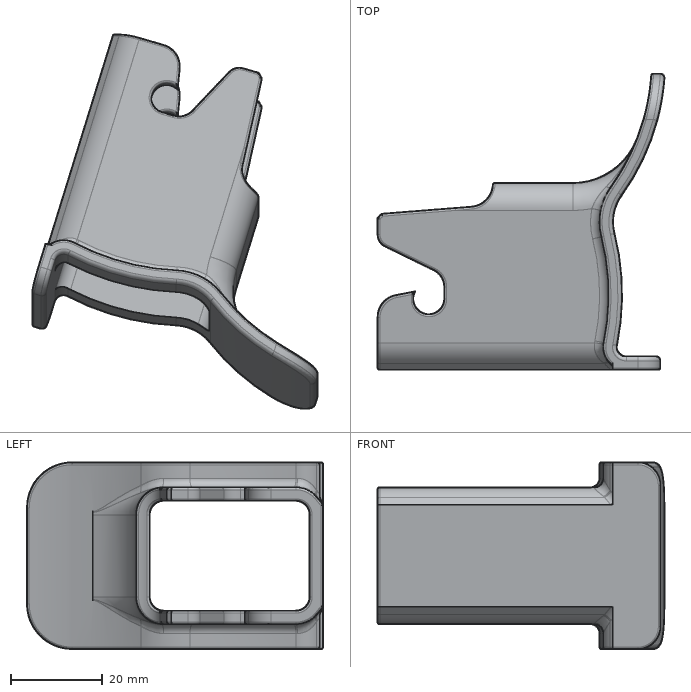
import cadquery as cq
import math

wall = 3.0
sleeve_width = 41.0
sleeve_height = 30.0
sleeve_corner = 2 * wall
front_rim = 0.5
rear_rim = 1.0
corner_bevel = math.radians(50)

plate_length = 65
plate_height = 41.0
plate_corner = 10.0
foot_end = 62.05
foot_corner = 5.0
foot_heel = 51.65
heel_bevel = math.radians(45)
bend_inside = 2.0
belly_radius = 55.0
belly_center = (-1.3, 16.5)
trough_radius = 10.0
tail_radius = 50.5
belly_angle = math.radians(14.2)
tail_angle = math.radians(-35.8)

side_blend = 2.0
tail_blend = 15.0
flare_gap = 0.03

arm_top = 34.2
arm_top_slope = math.radians(4.5)
arm_bottom = 27.9
arm_bottom_slope = math.radians(26)
arm_chamfer = 0.9
arm_round = 3.0
relief_x = 25.3
relief_round = 5.0
slot_center = (11.25, 15.6)
slot_radius = 3.4
lip_slope = math.radians(11)
lip_tip_angle = math.radians(151)
lip_round = 5.0
hook_round = 4.0

margin = 0.65
bend_outside = bend_inside + wall
sleeve_half = sleeve_height / 2


def polar(center, radius, angle):
    """Point on a circle; a negative radius gives the opposite side of it."""
    return (center[0] + radius * math.cos(angle), center[1] + radius * math.sin(angle))


def edge_near(x, y, z=0):
    """Selector of the edge whose middle is closest to a point."""
    return cq.NearestToPointSelector((x, y, z))


def draw_arcs(wire, arcs):
    """Continue a wire along arcs given as (center, radius, first angle, last angle)."""
    for center, radius, first, last in arcs:
        middle = polar(center, radius, (first + last) / 2)
        wire = wire.threePointArc(middle, polar(center, radius, last))
    return wire


trough_center = polar(belly_center, belly_radius + trough_radius, belly_angle)
tail_center = polar(trough_center, -(tail_radius + trough_radius), tail_angle)
bend_y = wall + bend_inside
bend_angle = math.asin((bend_y - belly_center[1]) / (belly_radius + bend_inside))
bend_center = polar(belly_center, belly_radius + bend_inside, bend_angle)


def tail_angle_at(depth, y):
    """Direction from the tail's centre to the point at height y along the tail."""
    return math.asin((y - tail_center[1]) / (tail_radius - depth))


def plate_arcs(depth, first_angle, last_angle):
    """The three plate arcs, from bulge to free end, at a depth below the back face."""
    return [
        (belly_center, belly_radius - depth, first_angle, belly_angle),
        (trough_center, -(trough_radius + depth), belly_angle, tail_angle),
        (tail_center, tail_radius - depth, tail_angle, last_angle),
    ]


def make_plate():
    """Bent plate with its foot, rounded corners and rounded edges."""
    heel_top = polar(bend_center, -bend_outside, heel_bevel)
    heel_y = heel_top[1] - (foot_heel - heel_top[0]) * math.tan(heel_bevel)
    back_end = tail_angle_at(0, plate_length)
    rear_tip = polar(tail_center, tail_radius, back_end)

    front_arcs = [(bend_center, -bend_outside, heel_bevel, bend_angle)]
    front_arcs += plate_arcs(wall, bend_angle, tail_angle_at(wall, plate_length))
    back_arcs = [(bend_center, -bend_inside, math.pi / 2, bend_angle)]
    back_arcs += plate_arcs(0, bend_angle, back_end)
    back_arcs_down = [(c, r, last, first) for c, r, first, last in reversed(back_arcs)]

    outline = (
        cq.Workplane("XY", origin=(0, 0, -plate_height / 2))
        .moveTo(foot_end, 0)
        .lineTo(foot_heel, 0)
        .lineTo(foot_heel, heel_y)
        .lineTo(*heel_top)
    )
    outline = draw_arcs(outline, front_arcs).lineTo(*rear_tip)
    outline = draw_arcs(outline, back_arcs_down).lineTo(foot_end, wall).close()
    plate = outline.extrude(plate_height)
    plate = plate.faces(">Y").edges("|X").fillet(plate_corner)
    foot_edges = cq.selectors.BoxSelector(
        (foot_end - margin, -margin, -plate_height),
        (foot_end + margin, wall + margin, plate_height),
    )
    plate = plate.edges(foot_edges).edges("|Y").fillet(foot_corner)

    front_tip = (rear_tip[0] - wall, plate_length)
    foot_sole = (foot_end, 0)
    for seed, radius in ((rear_tip, rear_rim), (front_tip, front_rim), (foot_sole, front_rim)):
        plate = plate.edges(edge_near(*seed)).fillet(radius)
    return plate


def make_bar():
    """Solid bar with the outer shape of the sleeve, flared into the plate's tail."""
    touch_radius = tail_radius - wall - flare_gap
    flare_y = sleeve_width + tail_blend
    flare_angle = math.asin((flare_y - tail_center[1]) / (touch_radius - tail_blend))
    flare_center = polar(tail_center, touch_radius - tail_blend, flare_angle)
    flare_arc = (flare_center, tail_blend, flare_angle, -math.pi / 2)

    depth = wall / 2
    core_radius = belly_radius - depth
    core_start = math.asin((bend_y - belly_center[1]) / core_radius)
    heel_x = foot_heel + margin

    outline = (
        cq.Workplane("XY", origin=(0, 0, -sleeve_half))
        .moveTo(0, 0)
        .lineTo(heel_x, 0)
        .lineTo(heel_x, bend_y)
        .lineTo(*polar(belly_center, core_radius, core_start))
    )
    outline = draw_arcs(outline, plate_arcs(depth, core_start, flare_angle))
    outline = outline.lineTo(*polar(tail_center, touch_radius, flare_angle))
    outline = draw_arcs(outline, [flare_arc]).lineTo(0, sleeve_width).close()
    bar = outline.extrude(sleeve_height)
    for z in (-sleeve_half, sleeve_half):
        far_edge = edge_near(flare_center[0] / 2, sleeve_width, z)
        bar = bar.edges(far_edge).fillet(sleeve_corner)
    return bar.intersect(make_near_section())


def make_near_section():
    """Solid that gives the sleeve its bevelled, rounded corners next to Y = 0."""
    r = sleeve_corner
    arc_z = sleeve_half - r
    sole_half = arc_z + r * math.tan((math.pi / 2 - corner_bevel) / 2)
    arc_end_y = r - r * math.sin(corner_bevel)
    arc_end_z = arc_z + r * math.cos(corner_bevel)
    return (
        cq.Workplane("YZ")
        .moveTo(plate_length, sleeve_half)
        .lineTo(plate_length, -sleeve_half)
        .lineTo(r, -sleeve_half)
        .radiusArc((arc_end_y, -arc_end_z), r)
        .lineTo(0, -sole_half)
        .lineTo(0, sole_half)
        .lineTo(arc_end_y, arc_end_z)
        .radiusArc((r, sleeve_half), r)
        .close()
        .extrude(plate_length)
    )


def make_side_outline():
    """Tall solid whose outline trims the arms, the hooks and the far wall."""
    depth = 2 * plate_height
    slot_right = slot_center[0] + slot_radius
    slot_top = arm_bottom - slot_right * math.tan(arm_bottom_slope)
    relief_y = arm_top + relief_x * math.tan(arm_top_slope)
    lip_tip = polar(slot_center, slot_radius, lip_tip_angle)
    lip_y = lip_tip[1] - lip_tip[0] * math.tan(lip_slope)
    outline = (
        cq.Workplane("XY", origin=(0, 0, -depth / 2))
        .moveTo(0, 0)
        .lineTo(plate_length, 0)
        .lineTo(plate_length, plate_length)
        .lineTo(relief_x, plate_length)
        .lineTo(relief_x, relief_y)
        .lineTo(0, arm_top)
        .lineTo(0, arm_bottom)
        .lineTo(slot_right, slot_top)
        .lineTo(slot_right, slot_center[1])
        .threePointArc((slot_center[0], slot_center[1] - slot_radius), lip_tip)
        .lineTo(0, lip_y)
        .close()
        .extrude(depth)
    )
    outline = outline.edges(edge_near(relief_x, relief_y)).fillet(relief_round)
    outline = outline.edges(edge_near(0, arm_top)).chamfer(arm_chamfer)
    outline = outline.edges(edge_near(0, arm_bottom)).fillet(arm_round)
    outline = outline.edges(edge_near(slot_right, slot_top)).fillet(hook_round)
    outline = outline.edges(edge_near(0, lip_y)).fillet(lip_round)
    return outline


def make_opening():
    """Bar that fills the inside of the sleeve and passes through the plate."""
    width = sleeve_width - 2 * wall
    height = sleeve_height - 2 * wall
    return (
        cq.Workplane("YZ")
        .center(sleeve_width / 2, 0)
        .rect(width, height)
        .extrude(plate_length)
        .edges("|X")
        .fillet(sleeve_corner - wall)
    )


def round_front_rim(sleeve):
    """Round every edge of the arms, hooks and mouth except those across a wall."""
    reach = plate_length
    box = cq.selectors.BoxSelector
    front_corner = (relief_x + margin, reach, reach)
    front = box((-margin, -reach, -reach), front_corner, boundingbox=True)
    middle = box((-reach, -reach, -margin), (reach, reach, margin))
    across_wall = cq.selectors.ParallelDirSelector(cq.Vector(0, 0, 1)) - middle
    return sleeve.edges(front - across_wall).fillet(front_rim)


def blend_seams(part):
    """Fillet the seams where the sleeve's upper and lower sides meet the plate."""
    seam_x = belly_center[0] + belly_radius - wall
    seam_y = belly_center[1]
    seam = cq.selectors.BoxSelector(
        (seam_x - wall, seam_y - wall, -sleeve_half - margin),
        (seam_x + margin, seam_y + wall, sleeve_half + margin),
    )
    return part.edges(seam).fillet(side_blend)


opening = make_opening()
sleeve = round_front_rim(make_bar().intersect(make_side_outline()).cut(opening))
plate = make_plate().cut(opening)
result = blend_seams(plate.union(sleeve))